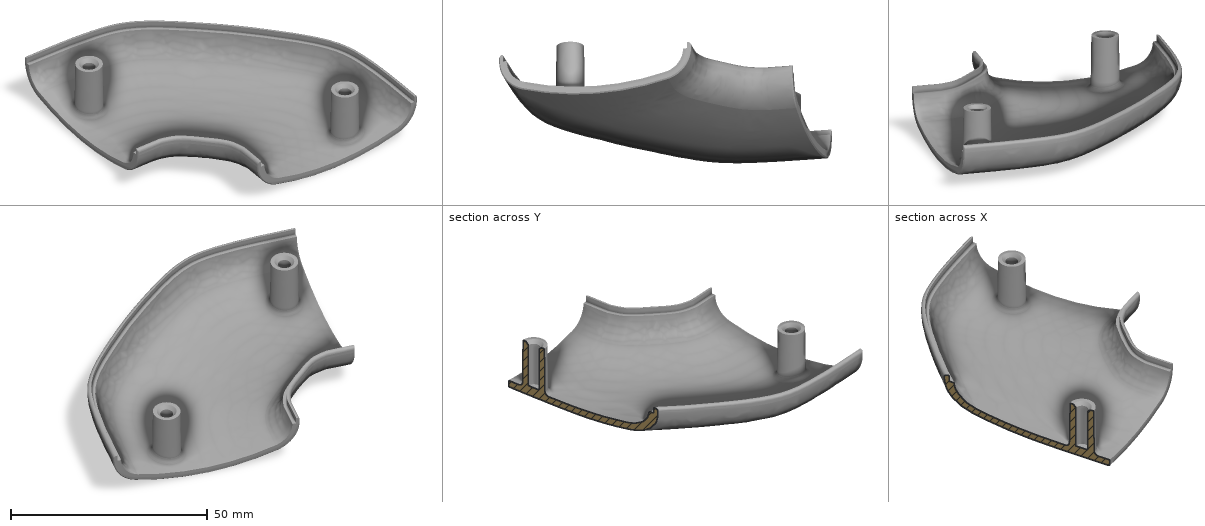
import cadquery as cq
import math

SIDE = 71.9
SHELL_WIDTH = 49.95
RIM_HEIGHT = 12.2
POST_TOP = 16.3

WALL = 2.0
CORNER_RADIUS = 8.2
LIP_WIDTH = 1.0
LIP_HEIGHT = 1.7
LIP_ROUND = 0.8
LEDGE_Z = RIM_HEIGHT - LIP_HEIGHT
END_CHAMFER = 0.3
JOIN_TOLERANCE = 0.01

STRAIGHT_LENGTH = 4.95
INNER_CORNER_Y = 10.5
INNER_BEND_START = 5.9
OUTER_KNEE = (5.75, 35.2)
OUTER_KNEE_ANGLE = 53.0
OUTER_KNEE_PULL = 6.55
OUTER_START_PULL = 19.5
OUTER_MID_BULGE = 1.6
KNEE_STATIONS = 4
MIDDLE_SHARES = (0, 0.25, 0.5)

DIAGONAL = math.sqrt(0.5)

POST_POSITION = (16.9, 8.2)
POST_BURIED_Z = 1.45
POST_TOP_RADIUS = 3.5
POST_BASE_RADIUS = 3.75
POST_FILLET = 1.1
FOOT_SEARCH_MARGIN = 0.35
BORE_RADIUS = 1.65
BORE_DEPTH = 12.95
COUNTERSINK_RADIUS = 2.5
COUNTERSINK_DEPTH = 0.85


def mirrored(point):
    """Reflect a plan point across the diagonal that swaps the two ends."""
    return (SIDE - point[1], SIDE - point[0])


def plan_vector(point):
    return cq.Vector(point[0], point[1], 0)


def half_profile(width, inset):
    """Points of a half section, from the vertical side to the middle of the floor.

    The side ends at ledge height in a corner arc, which runs on into the shallow floor arc.
    """
    middle = width / 2
    corner_radius = CORNER_RADIUS - inset
    corner_offset = middle - CORNER_RADIUS
    floor_radius = (corner_offset**2 + LEDGE_Z**2 - CORNER_RADIUS**2) / (2 * (LEDGE_Z - CORNER_RADIUS))
    end_angle = math.atan2(corner_offset, floor_radius - LEDGE_Z)

    def on_corner(angle):
        return (
            CORNER_RADIUS - corner_radius * math.sin(angle),
            LEDGE_Z - corner_radius * math.cos(angle),
        )

    side = on_corner(math.pi / 2)
    corner_middle = on_corner((math.pi / 2 + end_angle) / 2)
    corner_end = on_corner(end_angle)
    return side, corner_middle, corner_end, (middle, inset)


def section(outer_point, inner_point, trim=0):
    """Closed wire of the shell wall on the vertical plane through two plan points.

    The trim moves the outside of the wall inwards, and leaves the rim height as it is.
    """
    outer = plan_vector(outer_point)
    across = plan_vector(inner_point) - outer
    width = across.Length
    plane = cq.Plane(outer, across, across.cross(cq.Vector(0, 0, 1)))

    def flip(point):
        return (width - point[0], point[1])

    out_side, out_corner, out_end, out_floor = half_profile(width, trim)
    in_side, in_corner, in_end, in_floor = half_profile(width, WALL)
    round_radius = LIP_ROUND - trim
    round_gap = round_radius * (1 - DIAGONAL)
    round_start = (trim, RIM_HEIGHT - round_radius)
    round_middle = (trim + round_gap, RIM_HEIGHT - round_gap)
    round_end = (LIP_ROUND, RIM_HEIGHT)
    lip_top = (LIP_WIDTH, RIM_HEIGHT)
    lip_foot = (LIP_WIDTH, LEDGE_Z)

    outline = (
        cq.Workplane(plane)
        .moveTo(*round_start)
        .lineTo(*out_side)
        .threePointArc(out_corner, out_end)
        .threePointArc(out_floor, flip(out_end))
        .threePointArc(flip(out_corner), flip(out_side))
        .lineTo(*flip(round_start))
        .threePointArc(flip(round_middle), flip(round_end))
        .lineTo(*flip(lip_top))
        .lineTo(*flip(lip_foot))
        .lineTo(*flip(in_side))
        .threePointArc(flip(in_corner), flip(in_end))
        .threePointArc(in_floor, in_end)
        .threePointArc(in_corner, in_side)
        .lineTo(*lip_foot)
        .lineTo(*lip_top)
        .lineTo(*round_end)
        .threePointArc(round_middle, round_start)
        .close()
    )
    return outline.val()


def bend_stations():
    """Pairs of outer and inner plan points from the -Y end to the diagonal."""
    knee_angle = math.radians(OUTER_KNEE_ANGLE)
    knee_handle = (
        OUTER_KNEE[0] - OUTER_KNEE_PULL * math.cos(knee_angle),
        OUTER_KNEE[1] - OUTER_KNEE_PULL * math.sin(knee_angle),
    )
    outer_controls = [
        (0, STRAIGHT_LENGTH),
        (0, STRAIGHT_LENGTH + OUTER_START_PULL),
        knee_handle,
        OUTER_KNEE,
    ]
    outer_curve = cq.Edge.makeBezier([plan_vector(point) for point in outer_controls])

    tangent_length = INNER_CORNER_Y - INNER_BEND_START
    inner_start = (SHELL_WIDTH, INNER_BEND_START)
    inner_end = (
        SHELL_WIDTH + tangent_length * DIAGONAL,
        INNER_CORNER_Y + tangent_length * DIAGONAL,
    )
    inner_arc = cq.Edge.makeTangentArc(
        plan_vector(inner_start), cq.Vector(0, 1, 0), plan_vector(inner_end)
    )

    far_knee = mirrored(OUTER_KNEE)
    bulge = OUTER_MID_BULGE * DIAGONAL
    outer_mid = (
        (OUTER_KNEE[0] + far_knee[0]) / 2 - bulge,
        (OUTER_KNEE[1] + far_knee[1]) / 2 + bulge,
    )
    outer_arc = cq.Edge.makeThreePointArc(
        plan_vector(OUTER_KNEE), plan_vector(outer_mid), plan_vector(far_knee)
    )
    inner_line = cq.Edge.makeLine(plan_vector(inner_end), plan_vector(mirrored(inner_end)))

    stations = []
    for step in range(KNEE_STATIONS):
        share = step / KNEE_STATIONS
        stations.append((outer_curve.positionAt(share).toTuple(), inner_arc.positionAt(share).toTuple()))
    for share in MIDDLE_SHARES:
        stations.append((outer_arc.positionAt(share).toTuple(), inner_line.positionAt(share).toTuple()))
    return stations


def end_cap(outer_tip, inner_tip, outer_base, inner_base):
    """Short chamfered tip that closes off one end of the bend."""
    tip = section(outer_tip, inner_tip, END_CHAMFER)
    base = section(outer_base, inner_base)
    return cq.Workplane(cq.Solid.makeLoft([tip, base], True))


def bend():
    """Shell between the two end caps, lofted through all the sections."""
    straight_end = [((0, y), (SHELL_WIDTH, y)) for y in (END_CHAMFER, STRAIGHT_LENGTH / 2)]
    first_half = straight_end + bend_stations()
    second_half = [(mirrored(o), mirrored(i)) for o, i in reversed(first_half[:-1])]
    wires = [section(o, i) for o, i in first_half + second_half]
    return cq.Workplane(cq.Solid.makeLoft(wires))


def turned(profile, position):
    """Round body from radius and height points, on a vertical axis at a plan point."""
    body = cq.Workplane("XZ").polyline(profile).close().revolve(360, (0, 0, 0), (0, 1, 0))
    return body.translate((*position, 0))


def post(position):
    profile = [
        (0, POST_BURIED_Z),
        (POST_BASE_RADIUS, POST_BURIED_Z),
        (POST_TOP_RADIUS, POST_TOP),
        (0, POST_TOP),
    ]
    return turned(profile, position)


def post_bore(position):
    profile = [
        (0, POST_TOP - BORE_DEPTH),
        (BORE_RADIUS, POST_TOP - BORE_DEPTH),
        (BORE_RADIUS, POST_TOP - COUNTERSINK_DEPTH),
        (COUNTERSINK_RADIUS, POST_TOP),
        (0, POST_TOP),
    ]
    return turned(profile, position)


def foot_edges(body, position):
    """Edges where the post at this position meets the shell floor."""
    reach = POST_BASE_RADIUS + FOOT_SEARCH_MARGIN
    low = (position[0] - reach, position[1] - reach, WALL)
    high = (position[0] + reach, position[1] + reach, RIM_HEIGHT / 2)
    return body.edges(cq.selectors.BoxSelector(low, high, boundingbox=True))


result = bend()
for place in (POST_POSITION, mirrored(POST_POSITION)):
    result = result.union(post(place))
    result = foot_edges(result, place).fillet(POST_FILLET)
    result = result.cut(post_bore(place))

cap_points = [(0, 0), (SHELL_WIDTH, 0), (0, END_CHAMFER), (SHELL_WIDTH, END_CHAMFER)]
for points in (cap_points, [mirrored(point) for point in cap_points]):
    result = result.union(end_cap(*points), tol=JOIN_TOLERANCE)